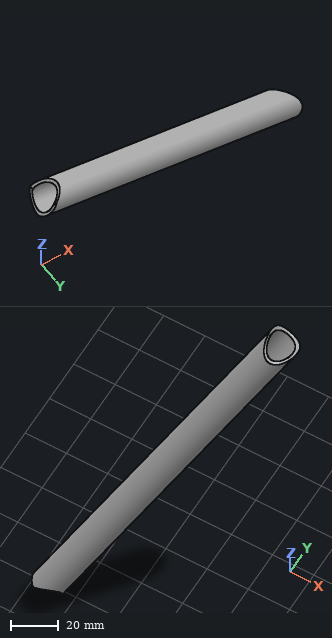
import cadquery as cq
import math

outer_diameter = 15.0
wall_thickness = 1.5
lower_node = cq.Vector(-35.7, -51.4, -65.3)
upper_node = cq.Vector(35.4, 49.4, 67.2)

member_diameter = 22.0
cope_length = 60.0


def direction(azimuth, elevation):
    """Unit vector at an azimuth from +X about Z and an elevation above the XY plane, in degrees."""
    turn = math.radians(azimuth)
    rise = math.radians(elevation)
    return cq.Vector(
        math.cos(turn) * math.cos(rise),
        math.sin(turn) * math.cos(rise),
        math.sin(rise),
    )


upper_member_axes = [direction(90.0, 0.0)]
lower_member_axes = [direction(0.0, -30.0), direction(-21.4, 20.7)]


def rod(start, axis, length, diameter):
    """Solid cylinder from a start point along an axis."""
    return cq.Workplane(cq.Solid.makeCylinder(diameter / 2, length, start, axis))


def make_tube():
    """Plain hollow tube from node to node."""
    axis = upper_node - lower_node
    bore_diameter = outer_diameter - 2 * wall_thickness
    outside = rod(lower_node, axis, axis.Length, outer_diameter)
    bore = rod(lower_node, axis, axis.Length, bore_diameter)
    return outside.cut(bore)


def cope_end(tube, node, member_axes):
    """Cut away the space taken by every member centred on the node."""
    for member_axis in member_axes:
        start = node - member_axis * (cope_length / 2)
        tube = tube.cut(rod(start, member_axis, cope_length, member_diameter))
    return tube


tube = make_tube()
tube = cope_end(tube, lower_node, lower_member_axes)
result = cope_end(tube, upper_node, upper_member_axes)